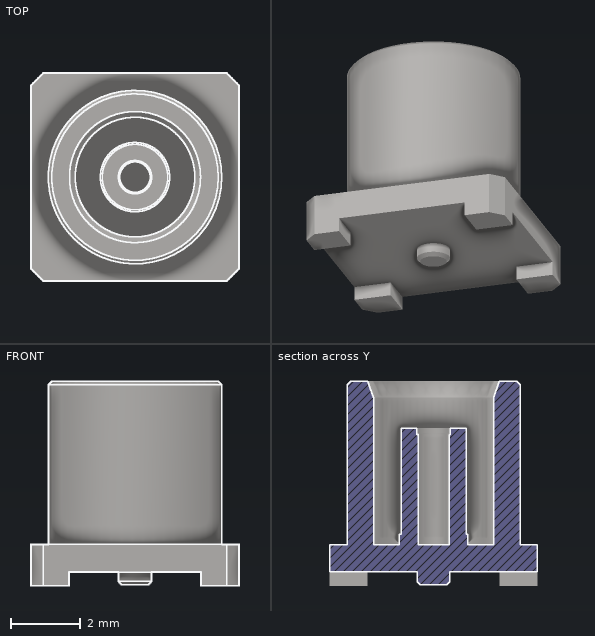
import cadquery as cq

BASE_SIDE = 6.0
BASE_TOP = 1.2
CORNER_CHAMFER = 0.36
FOOT_HEIGHT = 0.4
FOOT_WIDTH = 1.1
CHANNEL_WIDTH = BASE_SIDE - 2 * FOOT_WIDTH

TOTAL_HEIGHT = 5.9
SHELL_RADIUS = 5.0 / 2
SHELL_CHAMFER = 0.1

BORE_RADIUS = 3.45 / 2
MOUTH_RADIUS = 3.78 / 2
MOUTH_DEPTH = 0.47
BORE_FLOOR = BASE_TOP

POST_RADIUS = 1.89 / 2
POST_RECESS = 1.35
POST_TOP = TOTAL_HEIGHT - POST_RECESS
COLLAR_RADIUS = 2.0 / 2
COLLAR_HEIGHT = 0.3

PIN_RADIUS = 0.96 / 2
PIN_BOTTOM = 0.03
PIN_RECESS = 0.16
PIN_TOP = POST_TOP - PIN_RECESS
PIN_TOP_CHAMFER = 0.04
PIN_BOTTOM_CHAMFER = 0.1
SOCKET_RADIUS = PIN_RADIUS - PIN_TOP_CHAMFER
SOCKET_FLOOR = BASE_TOP


def cylinder(radius, bottom, top):
    """Vertical cylinder on the Z axis."""
    return cq.Workplane("XY").workplane(offset=bottom).circle(radius).extrude(top - bottom)


def make_base():
    """Plate with chamfered corners and two crossing channels that leave four feet."""
    plate = cq.Workplane("XY").rect(BASE_SIDE, BASE_SIDE).extrude(BASE_TOP)
    plate = plate.edges("|Z").chamfer(CORNER_CHAMFER)
    channel_x = cq.Workplane("XY").rect(BASE_SIDE, CHANNEL_WIDTH).extrude(FOOT_HEIGHT)
    channel_y = cq.Workplane("XY").rect(CHANNEL_WIDTH, BASE_SIDE).extrude(FOOT_HEIGHT)
    return plate.cut(channel_x).cut(channel_y)


def make_shell():
    """Solid round shell with a chamfered upper rim."""
    shell = cylinder(SHELL_RADIUS, FOOT_HEIGHT, TOTAL_HEIGHT)
    return shell.faces(">Z").edges().chamfer(SHELL_CHAMFER)


def make_bore():
    """Cutter for the blind bore and its conical mouth."""
    profile = [
        (0, BORE_FLOOR),
        (BORE_RADIUS, BORE_FLOOR),
        (BORE_RADIUS, TOTAL_HEIGHT - MOUTH_DEPTH),
        (MOUTH_RADIUS, TOTAL_HEIGHT),
        (0, TOTAL_HEIGHT),
    ]
    return cq.Workplane("XZ").polyline(profile).close().revolve(360, (0, 0), (0, 1))


def make_post():
    """Post and collar rising from the bore floor."""
    collar = cylinder(COLLAR_RADIUS, FOOT_HEIGHT, BORE_FLOOR + COLLAR_HEIGHT)
    return collar.union(cylinder(POST_RADIUS, FOOT_HEIGHT, POST_TOP))


def make_pin():
    """Pin chamfered at both ends, with a blind socket that meets the upper chamfer at a sharp rim."""
    pin = cylinder(PIN_RADIUS, PIN_BOTTOM, PIN_TOP)
    pin = pin.faces(">Z").edges().chamfer(PIN_TOP_CHAMFER)
    pin = pin.faces("<Z").edges().chamfer(PIN_BOTTOM_CHAMFER)
    return pin.cut(cylinder(SOCKET_RADIUS, SOCKET_FLOOR, PIN_TOP))


pin_hole = cylinder(PIN_RADIUS, FOOT_HEIGHT, POST_TOP)
body = make_base().union(make_shell()).cut(make_bore()).union(make_post())
result = body.cut(pin_hole).union(make_pin())